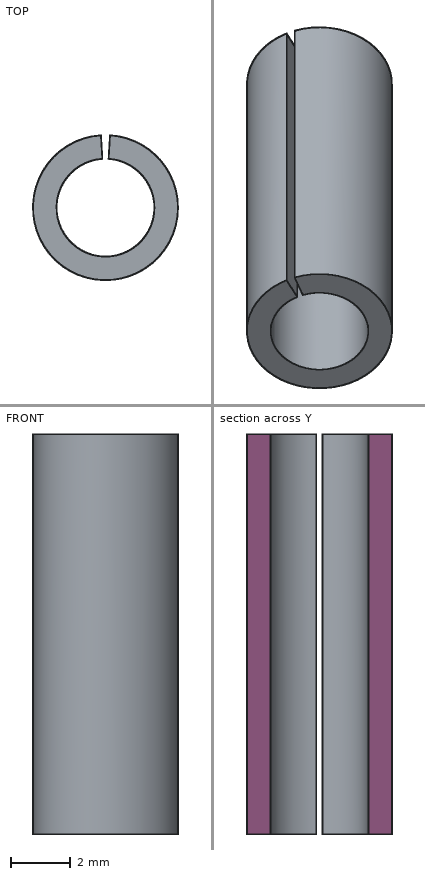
import cadquery as cq
import math

length = 13.5
outer_diameter = 4.9
inner_diameter = 3.3
slit_angle = 7.0

tube = (
    cq.Workplane("XY")
    .circle(outer_diameter / 2)
    .circle(inner_diameter / 2)
    .extrude(length)
)

wedge_reach = outer_diameter
wedge_half_width = wedge_reach * math.tan(math.radians(slit_angle / 2))
slit = (
    cq.Workplane("XY")
    .moveTo(0, 0)
    .lineTo(wedge_half_width, wedge_reach)
    .lineTo(-wedge_half_width, wedge_reach)
    .close()
    .extrude(length)
)

result = tube.cut(slit)